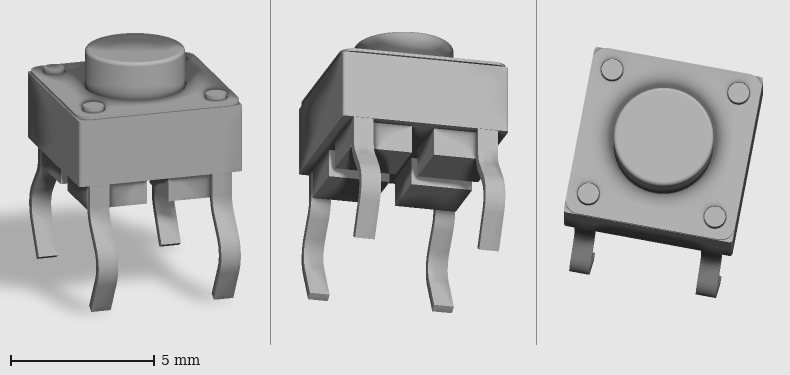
import cadquery as cq
import math


total_height = 8.49
total_width = 7.98

housing_side = 6.0
housing_height = 2.4
housing_corner_radius = 0.1

button_diameter = 3.5
button_height = 1.5
button_edge_radius = 0.13

rivet_diameter = 0.73
rivet_height = 0.305
corner_offset = 2.25

plate_gap = 0.05
plate_thickness = 0.1
plate_corner_radius = 0.5
button_hole_diameter = 3.6
rivet_hole_diameter = 0.815

foot_side = 2.2
foot_spacing = 0.8
foot_height = 0.985

leg_thickness = 0.3
leg_width = 0.71
leg_inset = 0.021
leg_straight = 0.84
outward_angle = math.radians(40)
inward_angle = math.radians(30)
first_bend_radius = 0.985
second_bend_radius = 1.04

CORNERS = [(sx, sy) for sx in (-1, 1) for sy in (-1, 1)]
rivet_centres = [(sx * corner_offset, sy * corner_offset) for sx, sy in CORNERS]


def make_housing_block():
    """Square block with rounded vertical edges."""
    block = cq.Workplane("XY").box(housing_side, housing_side, housing_height, centered=(True, True, False))
    return block.edges("|Z").fillet(housing_corner_radius)


def make_button():
    """Round button with a softened top edge."""
    base = cq.Workplane("XY", origin=(0, 0, housing_height))
    button = base.circle(button_diameter / 2).extrude(button_height)
    return button.faces(">Z").edges().fillet(button_edge_radius)


def make_rivets():
    """Four short cylinders standing on the housing block."""
    base = cq.Workplane("XY", origin=(0, 0, housing_height))
    return base.pushPoints(rivet_centres).circle(rivet_diameter / 2).extrude(rivet_height)


def make_feet():
    """Four square feet below the housing block."""
    foot_offset = (foot_spacing + foot_side) / 2
    foot_centres = [(sx * foot_offset, sy * foot_offset) for sx, sy in CORNERS]
    return cq.Workplane("XY").pushPoints(foot_centres).rect(foot_side, foot_side).extrude(-foot_height)


def make_leg(side_x, side_y):
    """Strip swept along tangent lines and arcs, set just inside one X side of the housing."""

    def on_circle(centre, radius, angle):
        return centre[0] + radius * math.cos(angle), centre[1] + radius * math.sin(angle)

    top = ((housing_side - leg_thickness) / 2 - leg_inset, 0)
    first_start = (top[0], -leg_straight)
    first_centre = (first_start[0] + first_bend_radius, first_start[1])
    first_middle = on_circle(first_centre, first_bend_radius, math.pi + outward_angle / 2)
    first_end = on_circle(first_centre, first_bend_radius, math.pi + outward_angle)

    second_centre_x = (total_width - leg_thickness) / 2 - second_bend_radius
    second_start_x = second_centre_x + second_bend_radius * math.cos(outward_angle)
    slope_drop = (second_start_x - first_end[0]) / math.tan(outward_angle)
    second_start = (second_start_x, first_end[1] - slope_drop)
    second_centre = (second_centre_x, second_start[1] - second_bend_radius * math.sin(outward_angle))
    second_middle = on_circle(second_centre, second_bend_radius, 0)
    second_end = on_circle(second_centre, second_bend_radius, -inward_angle)

    lowest = housing_height + button_height - total_height
    tip_height = lowest + leg_thickness / 2 * math.sin(inward_angle)
    tip_drop = second_end[1] - tip_height
    tip = (second_end[0] - tip_drop * math.tan(inward_angle), tip_height)

    def mirrored(point):
        return side_x * point[0], point[1]

    leg_y = side_y * corner_offset
    path = (
        cq.Workplane("XZ", origin=(0, leg_y, 0))
        .moveTo(*mirrored(top))
        .lineTo(*mirrored(first_start))
        .threePointArc(mirrored(first_middle), mirrored(first_end))
        .lineTo(*mirrored(second_start))
        .threePointArc(mirrored(second_middle), mirrored(second_end))
        .lineTo(*mirrored(tip))
    )
    section = cq.Workplane("XY").center(side_x * top[0], leg_y).rect(leg_thickness, leg_width)
    return section.sweep(path)


def make_switch_body():
    """Housing block with its button, rivets, feet and legs as one solid."""
    body = make_housing_block().union(make_button()).union(make_rivets()).union(make_feet())
    for side_x, side_y in CORNERS:
        body = body.union(make_leg(side_x, side_y))
    return body.solids()


def make_cover_plate():
    """Thin plate with clearance holes for the button and the rivets."""
    plate = (
        cq.Workplane("XY", origin=(0, 0, housing_height + plate_gap))
        .rect(housing_side, housing_side)
        .extrude(plate_thickness)
        .edges("|Z")
        .fillet(plate_corner_radius)
    )
    plate = plate.faces(">Z").workplane(origin=(0, 0, 0)).hole(button_hole_diameter)
    plate = plate.faces(">Z").workplane(origin=(0, 0, 0)).pushPoints(rivet_centres).hole(rivet_hole_diameter)
    return plate.solids()


switch_body = make_switch_body()
cover_plate = make_cover_plate()

result = cq.Compound.makeCompound([switch_body.val(), cover_plate.val()])